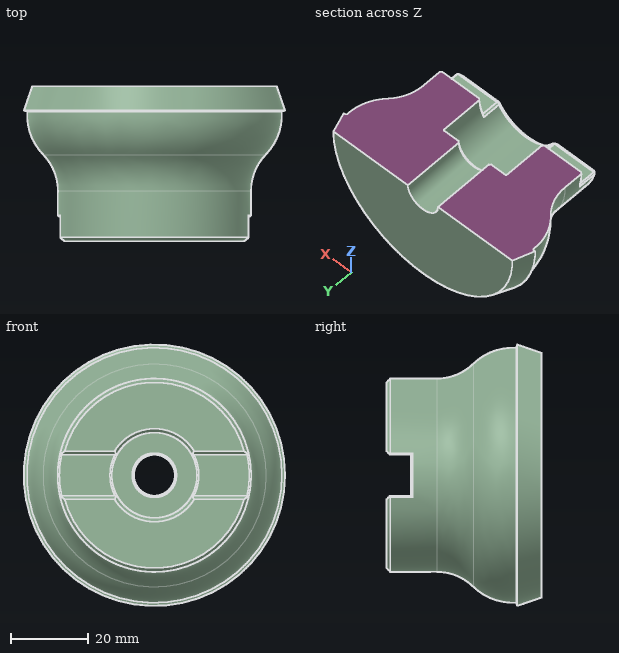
import cadquery as cq
import math

length = 40.0
rim_radius = 33.75
rim_back_radius = 31.6
rim_width = 6.3
crest_radius = 32.95
crest_from_back = 7.4
bulge_arc_radius = 14.65
neck_radius = 25.0
neck_length = 13.0

slot_width = 10.45
slot_depth = 6.3
bore_radius = 11.0
bore_depth = 20.25
hole_radius = 5.25

face_chamfer = 1.0
small_chamfer = 0.5

rim_y = length - rim_width
rim_slope = (rim_radius - rim_back_radius) / rim_width
step_y = rim_y - (rim_radius - crest_radius) * rim_slope

crest_y = length - crest_from_back
drop = crest_radius - neck_radius
run = crest_y - neck_length
neck_arc_radius = (run**2 + drop**2) / (2 * drop) - bulge_arc_radius
sweep = math.asin(run / (bulge_arc_radius + neck_arc_radius))


def bulge_point(angle):
    """Point on the convex bulge, angle measured from its crest towards the neck."""
    return (
        crest_radius - bulge_arc_radius * (1 - math.cos(angle)),
        crest_y - bulge_arc_radius * math.sin(angle),
    )


def neck_point(angle):
    """Point on the concave arc, angle measured from its end on the neck."""
    return (
        neck_radius + neck_arc_radius * (1 - math.cos(angle)),
        neck_length + neck_arc_radius * math.sin(angle),
    )


def make_body():
    step_angle = -math.asin((step_y - crest_y) / bulge_arc_radius)
    return (
        cq.Workplane("XY")
        .moveTo(0, 0)
        .lineTo(neck_radius, 0)
        .lineTo(neck_radius, neck_length)
        .threePointArc(neck_point(sweep / 2), neck_point(sweep))
        .threePointArc(bulge_point((sweep + step_angle) / 2), bulge_point(step_angle))
        .lineTo(rim_radius, rim_y)
        .lineTo(rim_back_radius, length)
        .lineTo(0, length)
        .close()
        .revolve(360, (0, 0, 0), (0, 1, 0))
    )


def make_cylinder(radius, depth):
    """Cylinder on the Y axis running back from the front face."""
    return cq.Workplane("XZ").circle(radius).extrude(-depth)


def make_slot():
    return cq.Workplane("XY").box(2 * rim_radius, slot_depth, slot_width, centered=(True, False, True))


def break_slot_ends(body):
    """Chamfer the slot floor and walls where they meet the outside and the bore."""
    margin = 0.1
    half_height = slot_width / 2 + margin
    slot_zone = cq.selectors.BoxSelector(
        (-rim_radius, -margin, -half_height),
        (rim_radius, slot_depth + margin, half_height),
        boundingbox=True,
    )
    return body.edges(slot_zone).edges("not |X").chamfer(small_chamfer)


def break_front_face(body):
    """Chamfer the whole outline of the two front lands."""
    return body.faces("<Y").edges().chamfer(face_chamfer)


def break_hole_mouth(body):
    """Chamfer the through hole where it opens into the bore."""
    mouth_radius = hole_radius + small_chamfer
    mouth = (
        cq.Workplane("XZ", origin=(0, bore_depth, 0))
        .circle(mouth_radius)
        .workplane(offset=-small_chamfer)
        .circle(hole_radius)
        .loft(ruled=True)
    )
    return body.cut(mouth)


result = make_body()
result = result.cut(make_cylinder(bore_radius, bore_depth))
result = result.cut(make_cylinder(hole_radius, length))
result = result.cut(make_slot())
result = break_front_face(result)
result = break_slot_ends(result)
result = break_hole_mouth(result)